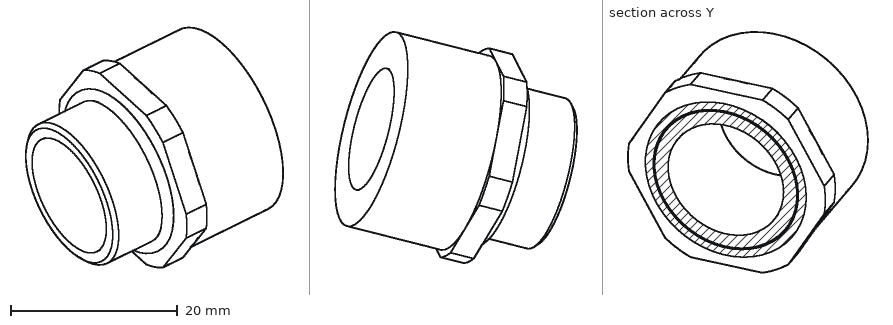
import cadquery as cq
import math

body_length = 12.0
hex_length = 3.0
spigot_length = 8.01

across_flats = 24.0
corner_diameter = 25.77
body_diameter = across_flats
spigot_diameter = 18.6
bore_diameter = 15.0
spigot_chamfer = 0.52

ring_outer_diameter = 21.36
ring_section = (ring_outer_diameter - spigot_diameter) / 2
ring_embed = 0.03


def cylinder(diameter, start, length):
    """Cylinder about the Y axis from Y = start towards +Y."""
    plane = cq.Workplane("XZ", origin=(0, start, 0))
    return plane.circle(diameter / 2).extrude(-length)


def make_hexagon():
    """Hexagon with flats facing +Z and -Z and its corners turned round."""
    vertex_diameter = across_flats / math.cos(math.pi / 6)
    prism = cq.Workplane("XZ").polygon(6, vertex_diameter).extrude(-hex_length)
    return prism.intersect(cylinder(corner_diameter, 0, hex_length))


def make_spigot():
    spigot = cylinder(spigot_diameter, -spigot_length, spigot_length)
    return spigot.faces("<Y").edges().chamfer(spigot_chamfer)


def make_ring():
    """Round-section ring turned about the Y axis."""
    section_radius = ring_section / 2 + ring_embed / 2
    center_radius = ring_outer_diameter / 2 - section_radius
    center_y = ring_embed - section_radius
    section = cq.Workplane("XY").center(center_radius, center_y).circle(section_radius)
    return section.revolve(360, (-center_radius, 0, 0), (-center_radius, 1, 0))


body = cylinder(body_diameter, hex_length, body_length)
bore = cylinder(bore_diameter, -spigot_length, spigot_length + hex_length + body_length)

result = make_hexagon().union(body).union(make_spigot()).union(make_ring()).cut(bore)